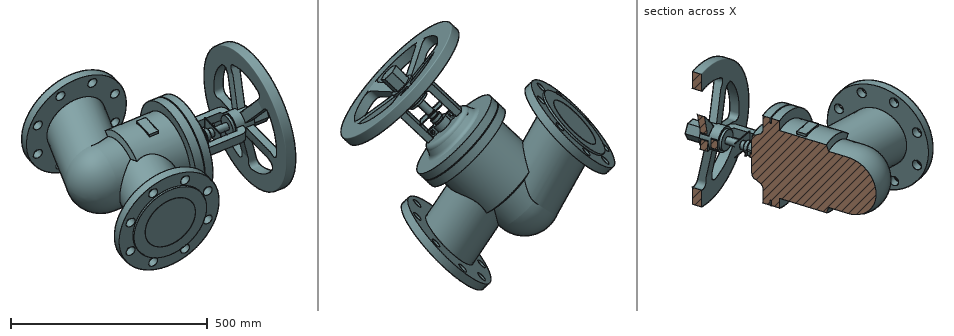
import cadquery as cq
import math


flange_radius = 150.0
face_to_face = 480.0
raised_face_radius = 109.0
raised_face_height = 6.0
bore_radius = 75.0
bore_recess = 0.5
flange_thickness = 24.0
bolt_circle_radius = 125.0
bolt_hole_diameter = 26.5
bolt_count = 8
flange_inner_x = face_to_face / 2 - raised_face_height - flange_thickness

body_radius = 107.0
body_bottom_y = 4.5
body_chamfer_height = 6.5
bowl_radius = 91.0
bowl_center_y = bowl_radius - flange_radius
body_flange_radius = 134.5
body_flange_bottom_y = 143.5
body_flange_thickness = 25.0
gasket_radius = 120.0
gasket_thickness = 2.5

pipe_radius = 83.5
inlet_angle = 17.2
inlet_axis_offset = 7.0
outlet_angle = 12.7

plate_width = 62.0
plate_height = 28.0
plate_center_y = 81.5
plate_top_z = 110.0

bonnet_flange_thickness = 23.0
bonnet_foot_radius = 91.0
bonnet_waist_radius = 81.0
bonnet_waist_height = 8.5
bonnet_waist_arc = 14.5
bonnet_shoulder_radius = 75.0
bonnet_shoulder_height = 21.0
bonnet_shoulder_arc = 14.0
bonnet_top_radius = 60.0
bonnet_height = 33.0
body_flange_top_y = body_flange_bottom_y + body_flange_thickness
bonnet_flange_bottom_y = body_flange_top_y + gasket_thickness
bonnet_base_y = bonnet_flange_bottom_y + bonnet_flange_thickness
bonnet_top_y = bonnet_base_y + bonnet_height

yoke_half_width = 60.0
yoke_leg_width = 19.0
yoke_depth = 28.0
yoke_top_y = 347.5
yoke_bar_height = 19.5
yoke_outer_fillet = 21.0
yoke_inner_fillet = 7.0
bridge_height = 20.0
bridge_depth = 11.5
eye_width = 9.0
eye_height = 11.5
eye_center_x = 33.0
eye_top_gap = 4.5
bridge_top_y = bonnet_top_y + bridge_height

gland_radius = 22.5
gland_neck_radius = 14.0
gland_neck_top_y = 252.5
gland_collar_radius = 16.0
gland_collar_top_y = 262.5
spindle_radius = 10.5
indicator_hub_radius = 12.0
indicator_hub_bottom_y = 265.0
indicator_y = 275.5
indicator_thickness = 2.5
indicator_length = 77.0
indicator_width = 41.5
bushing_radius = 29.0
bushing_bottom_y = 320.0
hub_radius = 35.0
hub_bottom_y = 328.0
hub_top_y = 382.0

wheel_diameter = 400.0
wheel_bottom_y = 374.0
wheel_thickness = 28.5
wheel_edge_fillet = 2.5
window_outer_radius = 150.0
window_fillet = 14.5
spoke_count = 5
spoke_width = 30.0
web_root_y = 355.5
web_rim_radius = 121.5
spoke_start_angle = 270.0
wheel_radius = wheel_diameter / 2
wheel_top_y = wheel_bottom_y + wheel_thickness

nut_sides = 6
nut_across_flats = 46.5
nut_top_y = 429.0


def disc(radius, bottom_y, top_y):
    """Round disc about the Y axis."""
    return cq.Workplane("XZ", origin=(0, bottom_y, 0)).circle(radius).extrude(bottom_y - top_y)


def pipe_flange():
    """Flange at the +X end, with raised face, bore recess and bolt holes."""
    flange = (
        cq.Workplane("YZ", origin=(flange_inner_x, 0, 0))
        .circle(flange_radius)
        .extrude(flange_thickness)
        .faces(">X")
        .workplane()
        .polarArray(bolt_circle_radius, 180 / bolt_count, 360, bolt_count)
        .hole(bolt_hole_diameter)
    )
    raised_face = (
        cq.Workplane("YZ", origin=(flange_inner_x, 0, 0))
        .circle(raised_face_radius)
        .extrude(flange_thickness + raised_face_height)
    )
    recess = (
        cq.Workplane("YZ", origin=(face_to_face / 2 - bore_recess, 0, 0))
        .circle(bore_radius)
        .extrude(bore_recess)
    )
    return flange.union(raised_face).cut(recess)


def pipe(inner_point, direction):
    """Sloping pipe from a point inside the body, trimmed within the flange."""
    plane = cq.Plane(origin=inner_point, xDir=(0, 0, 1), normal=direction)
    trim_width = 2 * flange_inner_x + flange_thickness
    trim = cq.Workplane("XY").box(trim_width, face_to_face, face_to_face)
    return cq.Workplane(plane).circle(pipe_radius).extrude(face_to_face).intersect(trim)


def inlet_pipe():
    """Pipe to the -X flange; its axis passes just below the center of the bowl."""
    slope = math.radians(inlet_angle)
    inner_point = (
        -inlet_axis_offset * math.sin(slope),
        bowl_center_y - inlet_axis_offset * math.cos(slope),
        0,
    )
    return pipe(inner_point, (-math.cos(slope), math.sin(slope), 0))


def outlet_pipe():
    """Pipe to the +X flange; its axis meets the flange axis at the flange back."""
    slope = math.radians(outlet_angle)
    inner_point = (0, flange_inner_x * math.tan(slope), 0)
    return pipe(inner_point, (math.cos(slope), -math.sin(slope), 0))


def body():
    """Body, bowl, gasket joint and bonnet, turned about the Y axis."""
    return (
        cq.Workplane("XY")
        .moveTo(0, bowl_center_y - bowl_radius)
        .radiusArc((bowl_radius, bowl_center_y), -bowl_radius)
        .lineTo(bowl_radius, body_bottom_y - body_chamfer_height)
        .lineTo(body_radius, body_bottom_y)
        .lineTo(body_radius, body_flange_bottom_y)
        .lineTo(body_flange_radius, body_flange_bottom_y)
        .lineTo(body_flange_radius, body_flange_top_y)
        .lineTo(gasket_radius, body_flange_top_y)
        .lineTo(gasket_radius, bonnet_flange_bottom_y)
        .lineTo(body_flange_radius, bonnet_flange_bottom_y)
        .lineTo(body_flange_radius, bonnet_base_y)
        .lineTo(bonnet_foot_radius, bonnet_base_y)
        .radiusArc((bonnet_waist_radius, bonnet_base_y + bonnet_waist_height), bonnet_waist_arc)
        .lineTo(bonnet_shoulder_radius, bonnet_base_y + bonnet_shoulder_height)
        .radiusArc((bonnet_top_radius, bonnet_top_y), -bonnet_shoulder_arc)
        .lineTo(0, bonnet_top_y)
        .close()
        .revolve(360, (0, 0, 0), (0, 1, 0))
    )


def name_plate():
    """Raised rectangular plate on top of the body."""
    return (
        cq.Workplane("XY")
        .center(0, plate_center_y)
        .rect(plate_width, plate_height)
        .extrude(plate_top_z)
    )


def yoke():
    """Portal-shaped yoke standing on the bonnet."""
    height = yoke_top_y - bonnet_top_y
    opening_height = height - yoke_bar_height
    opening_width = 2 * (yoke_half_width - yoke_leg_width)
    outer = (
        cq.Workplane("XY")
        .box(2 * yoke_half_width, height, yoke_depth, centered=(True, False, True))
        .edges("|Z and >Y")
        .fillet(yoke_outer_fillet)
    )
    opening = (
        cq.Workplane("XY")
        .box(opening_width, opening_height, yoke_depth, centered=(True, False, True))
        .edges("|Z and >Y")
        .fillet(yoke_inner_fillet)
    )
    return outer.cut(opening).translate((0, bonnet_top_y, 0))


def gland_bridge():
    """Plate between the yoke legs with a round-bottomed eye on each side."""
    bridge_length = 2 * yoke_half_width - yoke_leg_width
    bridge = (
        cq.Workplane("XY", origin=(0, bonnet_top_y, 0))
        .box(bridge_length, bridge_height, bridge_depth, centered=(True, False, True))
    )
    eye_top_y = bridge_top_y - eye_top_gap
    eye_round_y = eye_top_y - eye_height + eye_width / 2
    for x in (-eye_center_x, eye_center_x):
        eye = (
            cq.Workplane("XY", origin=(x, 0, -bridge_depth / 2))
            .moveTo(-eye_width / 2, eye_top_y)
            .lineTo(eye_width / 2, eye_top_y)
            .lineTo(eye_width / 2, eye_round_y)
            .threePointArc((0, eye_top_y - eye_height), (-eye_width / 2, eye_round_y))
            .close()
            .extrude(bridge_depth)
        )
        bridge = bridge.cut(eye)
    return bridge


def spindle():
    """Gland, spindle, indicator plate, bushing and wheel hub."""
    indicator_top_y = indicator_y + indicator_thickness
    indicator = (
        cq.Workplane("XY", origin=(0, indicator_y, 0))
        .box(indicator_length, indicator_thickness, indicator_width, centered=(True, False, True))
    )
    return (
        disc(spindle_radius, bonnet_top_y, hub_top_y)
        .union(disc(gland_radius, bonnet_top_y, bridge_top_y))
        .union(disc(gland_neck_radius, bridge_top_y, gland_neck_top_y))
        .union(disc(gland_collar_radius, gland_neck_top_y, gland_collar_top_y))
        .union(disc(indicator_hub_radius, indicator_hub_bottom_y, indicator_top_y))
        .union(indicator)
        .union(disc(bushing_radius, bushing_bottom_y, hub_bottom_y))
        .union(disc(hub_radius, hub_bottom_y, hub_top_y))
    )


def wheel_blank():
    """Solid wheel turned about the Y axis: thick flat rim around a thinner conical web."""
    web_slope = (wheel_bottom_y - web_root_y) / (web_rim_radius - hub_radius)
    web_center_y = web_root_y - web_slope * hub_radius
    web_center_top_y = wheel_top_y - web_slope * window_outer_radius
    return (
        cq.Workplane("XY")
        .moveTo(0, web_center_y)
        .lineTo(web_rim_radius, wheel_bottom_y)
        .lineTo(wheel_radius, wheel_bottom_y)
        .lineTo(wheel_radius, wheel_top_y)
        .lineTo(window_outer_radius, wheel_top_y)
        .lineTo(0, web_center_top_y)
        .close()
        .revolve(360, (0, 0, 0), (0, 1, 0))
        .edges(cq.selectors.RadiusNthSelector(-1))
        .fillet(wheel_edge_fillet)
    )


def window():
    """Wedge-shaped opening between two spokes, with its middle on the +X direction."""
    half_pitch = math.pi / spoke_count
    half_width = spoke_width / 2
    apex_x = half_width / math.sin(half_pitch)
    corner_angle = half_pitch - math.asin(half_width / window_outer_radius)
    corner_x = window_outer_radius * math.cos(corner_angle)
    corner_z = window_outer_radius * math.sin(corner_angle)
    window_depth = wheel_top_y - hub_bottom_y
    return (
        cq.Workplane("XZ", origin=(0, hub_bottom_y, 0))
        .moveTo(apex_x, 0)
        .lineTo(corner_x, -corner_z)
        .threePointArc((window_outer_radius, 0), (corner_x, corner_z))
        .close()
        .extrude(-window_depth)
        .edges("|Y")
        .edges(">X")
        .fillet(window_fillet)
    )


def handwheel():
    """Wheel blank with the windows cut through, which leaves the spokes."""
    wheel = wheel_blank()
    pitch = 360 / spoke_count
    for i in range(spoke_count):
        angle = spoke_start_angle + (i + 0.5) * pitch
        wheel = wheel.cut(window().rotate((0, 0, 0), (0, 1, 0), -angle))
    return wheel


def spindle_nut():
    """Hexagonal nut standing on the wheel hub, with two corners along X."""
    across_corners = nut_across_flats / math.cos(math.pi / nut_sides)
    return (
        cq.Workplane("XZ", origin=(0, hub_top_y, 0))
        .polygon(nut_sides, across_corners)
        .extrude(hub_top_y - nut_top_y)
    )


flange = pipe_flange()
result = (
    body()
    .union(inlet_pipe())
    .union(outlet_pipe())
    .union(flange)
    .union(flange.mirror("YZ"))
    .union(name_plate())
    .union(yoke())
    .union(gland_bridge())
    .union(spindle())
    .union(handwheel())
    .union(spindle_nut())
)